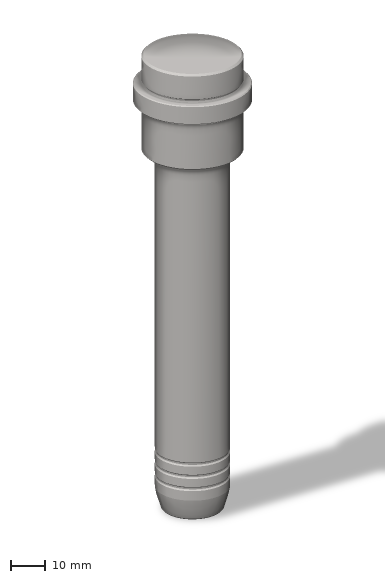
import cadquery as cq

total_length = 146.0
head_length = 31.0
head_bottom = total_length - head_length
flange_top = total_length - 9.0
flange_bottom = total_length - 15.0

flange_radius = 17.5
head_radius = 15.0
shaft_radius = 11.1
tip_radius = 9.3

taper_height = 7.0
taper_bulge = 0.1
tip_chamfer = 0.5

head_chamfer = 0.6
flange_chamfer = 0.3
relief_width = 1.2
relief_depth = 0.6
neck_width = 0.9
neck_depth = 0.7

ring_groove_count = 3
ring_groove_pitch = 4.0
ring_groove_width = 1.3
ring_groove_depth = 0.5
lowest_groove_bottom = 10.1

floor_share = 0.4


def cylinder(radius, bottom, top):
    """Solid cylinder on the Z axis between two heights."""
    return cq.Workplane("XY").workplane(offset=bottom).circle(radius).extrude(top - bottom)


def sloped_groove(radius, depth, bottom, width):
    """Ring-shaped cutter with a flat floor and sloping sides."""
    slope_height = width * (1 - floor_share) / 2
    top = bottom + width
    floor_radius = radius - depth
    return (
        cq.Workplane("XZ")
        .moveTo(radius, bottom)
        .lineTo(floor_radius, bottom + slope_height)
        .lineTo(floor_radius, top - slope_height)
        .lineTo(radius, top)
        .close()
        .revolve(360, (0, 0, 0), (0, 1, 0))
    )


def make_shaft():
    """Long pin with a curved taper, relieved neck and ring grooves."""
    taper_middle_radius = (shaft_radius + tip_radius) / 2 + taper_bulge
    shaft = (
        cq.Workplane("XZ")
        .lineTo(tip_radius - tip_chamfer, 0)
        .lineTo(tip_radius, tip_chamfer)
        .threePointArc((taper_middle_radius, taper_height / 2), (shaft_radius, taper_height))
        .lineTo(shaft_radius, head_bottom - neck_width)
        .lineTo(shaft_radius - neck_depth, head_bottom - neck_width)
        .lineTo(shaft_radius - neck_depth, head_bottom)
        .lineTo(0, head_bottom)
        .close()
        .revolve(360, (0, 0, 0), (0, 1, 0))
    )
    for index in range(ring_groove_count):
        bottom = lowest_groove_bottom + index * ring_groove_pitch
        shaft = shaft.cut(sloped_groove(shaft_radius, ring_groove_depth, bottom, ring_groove_width))
    return shaft


def make_head():
    """Chamfered head with a relief groove on each side of its flange."""
    head = cylinder(head_radius, head_bottom, total_length).faces("<Z or >Z").chamfer(head_chamfer)
    for bottom in (flange_top, flange_bottom - relief_width):
        head = head.cut(sloped_groove(head_radius, relief_depth, bottom, relief_width))
    flange = cylinder(flange_radius, flange_bottom, flange_top).faces("<Z or >Z").chamfer(flange_chamfer)
    return head.union(flange)


result = make_shaft().union(make_head())